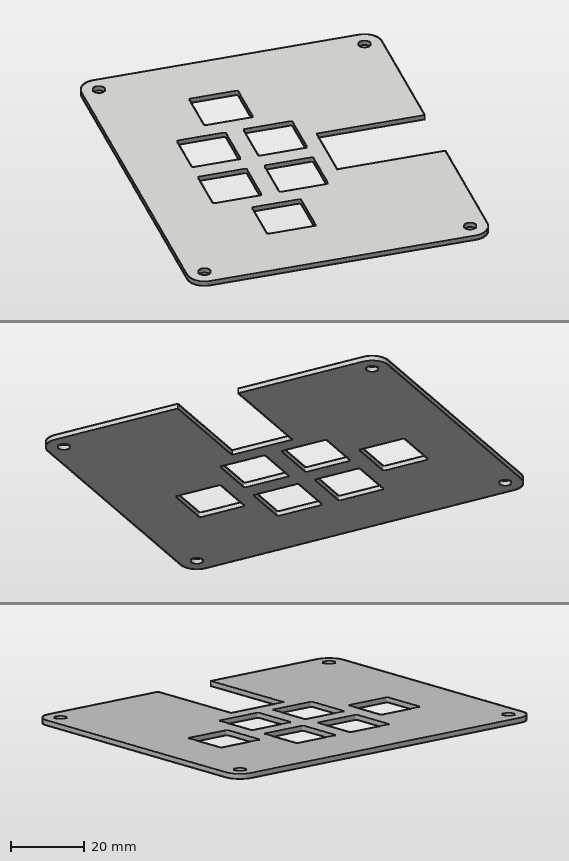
import cadquery as cq

plate_length = 105.7
plate_width = 86.0
plate_thickness = 1.5
corner_radius = 5.0

hole_diameter = 3.4
hole_spacing_x = plate_length - 2 * corner_radius
hole_spacing_y = plate_width - 2 * corner_radius

notch_width = 18.7
notch_depth = 31.0
notch_center_x = 0.4

key_size = 14.0
key_corner_radius = 0.5
key_pitch = 19.0
key_group_x = -0.5
key_group_y = -9.0
key_offsets = [
    (-1.5, 0),
    (-0.5, 0.5),
    (0.5, 0.5),
    (-0.5, -0.5),
    (0.5, -0.5),
    (1.5, 0),
]


def rounded_plate(length, width, radius):
    """Block of plate thickness with rounded vertical edges."""
    block = cq.Workplane("XY").box(length, width, plate_thickness, centered=(True, True, False))
    return block.edges("|Z").fillet(radius)


def mounting_holes():
    corners = cq.Workplane("XY").rect(hole_spacing_x, hole_spacing_y, forConstruction=True).vertices()
    return corners.circle(hole_diameter / 2).extrude(plate_thickness)


def notch():
    block = cq.Workplane("XY").box(notch_width, notch_depth, plate_thickness, centered=(True, True, False))
    return block.translate((notch_center_x, (plate_width - notch_depth) / 2, 0))


result = rounded_plate(plate_length, plate_width, corner_radius)
result = result.cut(mounting_holes()).cut(notch())

key_opening = rounded_plate(key_size, key_size, key_corner_radius)
for column, row in key_offsets:
    key_x = key_group_x + column * key_pitch
    key_y = key_group_y + row * key_pitch
    result = result.cut(key_opening.translate((key_x, key_y, 0)))